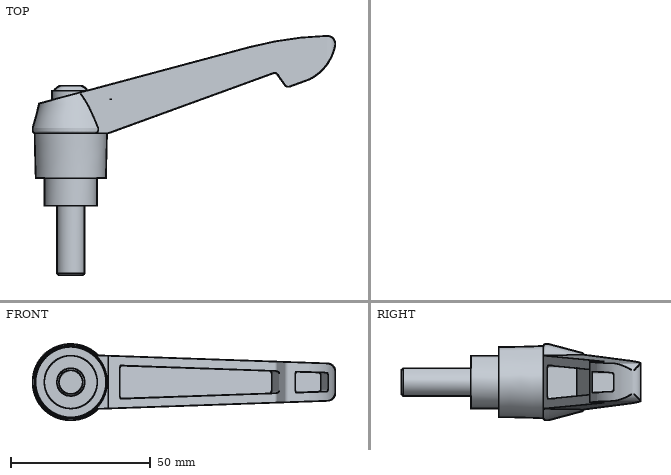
import cadquery as cq
import math


TOTAL_LENGTH = 108.75
TOTAL_HEIGHT = 86.07
RIM_DIAMETER = 27.46

STUD_RADIUS = 10.0 / 2
STUD_END_Y = -35.0
STUD_CHAMFER = 0.75
COLLAR_RADIUS = 19.0 / 2
COLLAR_LENGTH = 10.0

SKIRT_BOTTOM_RADIUS = 12.65
SKIRT_TOP_RADIUS = 13.05
RIM_RADIUS = RIM_DIAMETER / 2
RIM_BOTTOM_Y = 16.0
RIM_TOP_Y = 18.0
RIM_ROUND = 1.0
CONE_ANGLE = 15.0
CONE_TOP_Y = 36.0

HEAD_RADIUS = 13.6 / 2
HEAD_SHOULDER_Y = 31.4
HEAD_TOP_Y = 33.2
DOME_BASE_RADIUS = 6.0
DOME_TOP_RADIUS = 3.6
DOME_ARC_MIDDLE = (5.0, 32.5)

TOP_ANGLE = 15.0
TOP_Y_AT_AXIS = 29.83
TOP_Y = TOTAL_HEIGHT + STUD_END_Y
CROWN_START_X = 64.0
CREST_X = 91.9
TIP_X = TOTAL_LENGTH - RIM_RADIUS
TIP_Y = 48.0
UNDERSIDE_ANGLE = 20.0
UNDERSIDE_START_X = 13.4
NOTCH_TOP_X = 73.6
NOTCH_BOTTOM = (77.5, 32.4)
NOTCH_TOP_FILLET = 1.0
NOTCH_BOTTOM_FILLET = 1.5
GRIP_END_X = 85.6
GRIP_ARC_MIDDLE = (91.9, 40.65)

HALF_WIDTH_AT_AXIS = 9.98
SIDE_TAPER = 2.0
TIP_FILLET = 3.1

POCKET_WALL = 3.35
POCKET_ROOF = 5.4
POCKET_CORNER = 0.9
ARM_POCKET_START = (17.6, 17.6)
ARM_POCKET_END = (75.0, 35.7)
TIP_POCKET_START = (80.5, 33.9)
TIP_POCKET_END = (92.4, 41.2)

OVERSIZE = 60.0


def slope(angle):
    return math.tan(math.radians(angle))


def top_y(x):
    """Height of the sloped top plane of hub and arm."""
    return TOP_Y_AT_AXIS + x * slope(TOP_ANGLE)


def half_width(x):
    """Half the arm width along Z."""
    return HALF_WIDTH_AT_AXIS - x * slope(SIDE_TAPER)


def below_top_plane(drop=0.0):
    """Block that fills everything lower than the sloped top plane, moved down by drop."""
    left, right = -OVERSIZE, 2 * OVERSIZE
    return (
        cq.Workplane("XY")
        .polyline([
            (left, top_y(left) - drop),
            (right, top_y(right) - drop),
            (right, -OVERSIZE),
            (left, -OVERSIZE),
        ])
        .close()
        .extrude(OVERSIZE, both=True)
    )


def revolve_about_y(profile):
    """Full turn of an XY half profile around the stud axis."""
    return profile.close().revolve(360, (0, 0, 0), (0, 1, 0))


def make_hub():
    cone_top_radius = RIM_RADIUS - (CONE_TOP_Y - RIM_TOP_Y) * slope(CONE_ANGLE)
    foot_overlap = SKIRT_TOP_RADIUS - (RIM_RADIUS - RIM_ROUND)
    round_rise = RIM_ROUND - math.sqrt(RIM_ROUND**2 - foot_overlap**2)
    round_start = (SKIRT_TOP_RADIUS, RIM_BOTTOM_Y + round_rise)
    round_end = (RIM_RADIUS, RIM_BOTTOM_Y + RIM_ROUND)
    hub = revolve_about_y(
        cq.Workplane("XY")
        .moveTo(0, 0)
        .lineTo(SKIRT_BOTTOM_RADIUS, 0)
        .lineTo(*round_start)
        .radiusArc(round_end, -RIM_ROUND)
        .lineTo(RIM_RADIUS, RIM_TOP_Y)
        .lineTo(cone_top_radius, CONE_TOP_Y)
        .lineTo(0, CONE_TOP_Y)
    )
    return hub.intersect(below_top_plane())


def make_stud():
    return revolve_about_y(
        cq.Workplane("XY")
        .moveTo(0, STUD_END_Y)
        .lineTo(STUD_RADIUS - STUD_CHAMFER, STUD_END_Y)
        .lineTo(STUD_RADIUS, STUD_END_Y + STUD_CHAMFER)
        .lineTo(STUD_RADIUS, -COLLAR_LENGTH)
        .lineTo(COLLAR_RADIUS, -COLLAR_LENGTH)
        .lineTo(COLLAR_RADIUS, 0)
        .lineTo(0, 0)
    )


def make_screw_head():
    return revolve_about_y(
        cq.Workplane("XY")
        .moveTo(0, RIM_TOP_Y)
        .lineTo(HEAD_RADIUS, RIM_TOP_Y)
        .lineTo(HEAD_RADIUS, HEAD_SHOULDER_Y)
        .lineTo(DOME_BASE_RADIUS, HEAD_SHOULDER_Y)
        .threePointArc(DOME_ARC_MIDDLE, (DOME_TOP_RADIUS, HEAD_TOP_Y))
        .lineTo(0, HEAD_TOP_Y)
    )


def make_arm_side():
    """Arm outline extruded wider than the arm, with the notch corners rounded."""
    crown_start = (CROWN_START_X, top_y(CROWN_START_X))
    notch_top_y = RIM_BOTTOM_Y + (NOTCH_TOP_X - UNDERSIDE_START_X) * slope(UNDERSIDE_ANGLE)
    notch_top = (NOTCH_TOP_X, notch_top_y)
    grip_end = (GRIP_END_X, NOTCH_BOTTOM[1] + (GRIP_END_X - NOTCH_BOTTOM[0]) * slope(UNDERSIDE_ANGLE))

    arm = (
        cq.Workplane("XY")
        .moveTo(0, RIM_BOTTOM_Y)
        .lineTo(0, TOP_Y_AT_AXIS)
        .lineTo(*crown_start)
        .tangentArcPoint((CREST_X, TOP_Y), relative=False)
        .tangentArcPoint((TIP_X, TIP_Y), relative=False)
        .threePointArc(GRIP_ARC_MIDDLE, grip_end)
        .lineTo(*NOTCH_BOTTOM)
        .lineTo(*notch_top)
        .lineTo(UNDERSIDE_START_X, RIM_BOTTOM_Y)
        .close()
        .extrude(OVERSIZE, both=True)
    )

    def edge_at(point):
        return cq.selectors.NearestToPointSelector((point[0], point[1], 0))

    arm = arm.edges(edge_at(notch_top)).fillet(NOTCH_TOP_FILLET)
    return arm.edges(edge_at(NOTCH_BOTTOM)).fillet(NOTCH_BOTTOM_FILLET)


def make_arm_plan():
    """Tapering arm width in the XZ plane with a rounded tip."""
    near, far = half_width(0), half_width(TIP_X)
    return (
        cq.Workplane("XZ")
        .polyline([(0, -near), (TIP_X, -far), (TIP_X, far), (0, near)])
        .close()
        .extrude(OVERSIZE, both=True)
        .edges("|Y and >X")
        .fillet(TIP_FILLET)
    )


def make_pocket(start, end):
    """Tapering pocket square to the underside, between two points at its mouth."""
    angle = math.radians(UNDERSIDE_ANGLE)
    along = (math.cos(angle), math.sin(angle), 0)
    inward = (-math.sin(angle), math.cos(angle), 0)
    length = (end[0] - start[0]) * along[0] + (end[1] - start[1]) * along[1]
    near = half_width(start[0]) - POCKET_WALL
    far = half_width(end[0]) - POCKET_WALL
    mouth = cq.Plane(origin=(start[0], start[1], 0), xDir=along, normal=inward)
    return (
        cq.Workplane(mouth)
        .polyline([(0, -near), (length, -far), (length, far), (0, near)])
        .close()
        .extrude(OVERSIZE, both=True)
        .edges(cq.selectors.ParallelDirSelector(cq.Vector(*inward)))
        .fillet(POCKET_CORNER)
        .intersect(below_top_plane(POCKET_ROOF))
    )


def make_arm():
    arm = make_arm_side().intersect(make_arm_plan())
    arm = arm.cut(make_pocket(ARM_POCKET_START, ARM_POCKET_END))
    return arm.cut(make_pocket(TIP_POCKET_START, TIP_POCKET_END))


result = make_hub().union(make_arm()).union(make_stud()).union(make_screw_head())